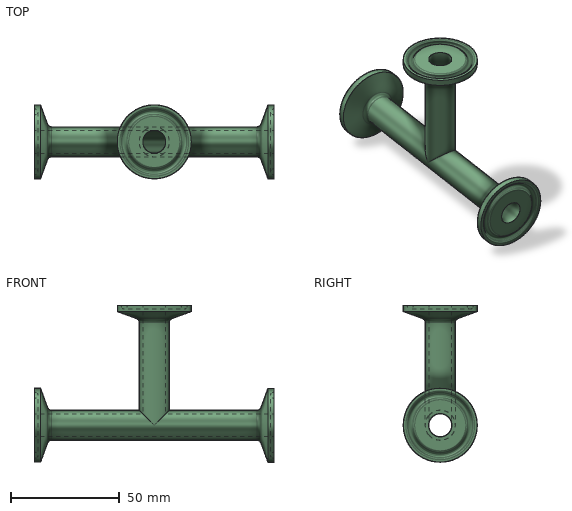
import cadquery as cq
import math

ARM_LENGTH = 55.0
TUBE_RADIUS = 13.8 / 2
BORE_RADIUS = 10.5 / 2

FLANGE_RADIUS = 34.0 / 2
RIM_THICKNESS = 2.85
CONE_ANGLE = math.radians(20)
NECK_FILLET = 2.0

GROOVE_CENTER_RADIUS = 27.5 / 2
GROOVE_BOTTOM_RADIUS = 1.2
GROOVE_LIP_RADIUS = 0.8
GROOVE_WALL_ANGLE = math.radians(70)
GROOVE_WALL_LENGTH = 0.4

ARM_DIRECTIONS = [(1, 0, 0), (-1, 0, 0), (0, 0, 1)]


def arc_point(center, radius, angle):
    """Point on a circle, with the angle measured from the first axis."""
    return (center[0] + radius * math.cos(angle), center[1] + radius * math.sin(angle))


def arm_profile():
    """Half section of one arm without bore, drawn as (radius, height along the arm)."""
    rim_bottom = ARM_LENGTH - RIM_THICKNESS
    fillet_center_radius = TUBE_RADIUS + NECK_FILLET
    cone_end_radius = fillet_center_radius - NECK_FILLET * math.sin(CONE_ANGLE)
    cone_end_height = rim_bottom - (FLANGE_RADIUS - cone_end_radius) * math.tan(CONE_ANGLE)
    fillet_center = (fillet_center_radius, cone_end_height - NECK_FILLET * math.cos(CONE_ANGLE))
    cone_end_angle = math.pi / 2 + CONE_ANGLE
    fillet_middle = arc_point(fillet_center, NECK_FILLET, (cone_end_angle + math.pi) / 2)

    return (
        cq.Workplane("XY")
        .lineTo(TUBE_RADIUS, 0)
        .lineTo(TUBE_RADIUS, fillet_center[1])
        .threePointArc(fillet_middle, (cone_end_radius, cone_end_height))
        .lineTo(FLANGE_RADIUS, rim_bottom)
        .lineTo(FLANGE_RADIUS, ARM_LENGTH)
        .lineTo(0, ARM_LENGTH)
        .close()
    )


def groove_profile():
    """Cross section of the gasket groove, open at the flange face."""
    radius_sum = GROOVE_BOTTOM_RADIUS + GROOVE_LIP_RADIUS
    wall_run = GROOVE_WALL_LENGTH * math.cos(GROOVE_WALL_ANGLE)
    wall_drop = GROOVE_WALL_LENGTH * math.sin(GROOVE_WALL_ANGLE)
    lip_offset = radius_sum * math.sin(GROOVE_WALL_ANGLE) + wall_run
    lip_height = ARM_LENGTH - GROOVE_LIP_RADIUS
    bottom_height = lip_height + radius_sum * math.cos(GROOVE_WALL_ANGLE) - wall_drop
    bottom_center = (GROOVE_CENTER_RADIUS, bottom_height)
    inner_lip = (GROOVE_CENTER_RADIUS - lip_offset, lip_height)
    outer_lip = (GROOVE_CENTER_RADIUS + lip_offset, lip_height)

    up = math.pi / 2
    down = -math.pi / 2
    inner_middle = arc_point(inner_lip, GROOVE_LIP_RADIUS, up - GROOVE_WALL_ANGLE / 2)
    inner_wall_top = arc_point(inner_lip, GROOVE_LIP_RADIUS, up - GROOVE_WALL_ANGLE)
    inner_wall_foot = arc_point(bottom_center, GROOVE_BOTTOM_RADIUS, down - GROOVE_WALL_ANGLE)
    groove_bottom = arc_point(bottom_center, GROOVE_BOTTOM_RADIUS, down)
    outer_wall_foot = arc_point(bottom_center, GROOVE_BOTTOM_RADIUS, down + GROOVE_WALL_ANGLE)
    outer_wall_top = arc_point(outer_lip, GROOVE_LIP_RADIUS, up + GROOVE_WALL_ANGLE)
    outer_middle = arc_point(outer_lip, GROOVE_LIP_RADIUS, up + GROOVE_WALL_ANGLE / 2)

    return (
        cq.Workplane("XY")
        .moveTo(inner_lip[0], ARM_LENGTH)
        .threePointArc(inner_middle, inner_wall_top)
        .lineTo(*inner_wall_foot)
        .threePointArc(groove_bottom, outer_wall_foot)
        .lineTo(*outer_wall_top)
        .threePointArc(outer_middle, (outer_lip[0], ARM_LENGTH))
        .close()
    )


def revolve_about_arm(profile):
    """Turn a (radius, height) section about the arm axis and stand the arm along +Z."""
    turned = profile.revolve(360, (0, 0), (0, 1))
    return turned.rotate((0, 0, 0), (1, 0, 0), 90)


def point_along(solid, direction):
    """Swing a solid built along +Z about the Y axis to the given direction."""
    tilt = math.degrees(math.atan2(direction[0], direction[2]))
    return solid.rotate((0, 0, 0), (0, 1, 0), tilt)


def make_tee():
    """Join the arms at the origin, then open the bores."""
    arm = revolve_about_arm(arm_profile()).cut(revolve_about_arm(groove_profile()))
    tee = point_along(arm, ARM_DIRECTIONS[0])
    for direction in ARM_DIRECTIONS[1:]:
        tee = tee.union(point_along(arm, direction))

    bore = cq.Workplane("XY").circle(BORE_RADIUS).extrude(ARM_LENGTH)
    for direction in ARM_DIRECTIONS:
        tee = tee.cut(point_along(bore, direction))
    return tee


result = make_tee()